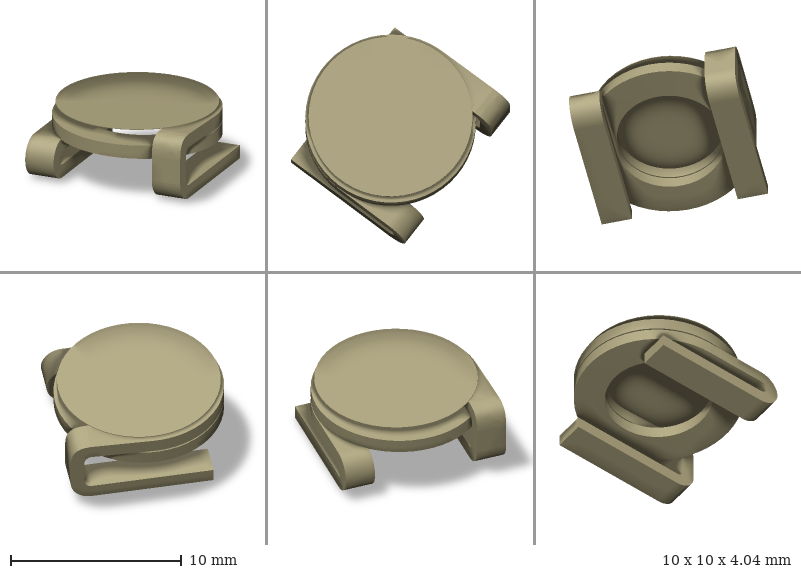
import cadquery as cq
import math

wire_thickness = 0.82
wire_width = 1.82

coil_outer_radius = 5.0
coil_turns = 1.5
coil_pitch = 0.92

slot_height = wire_thickness
bend_inner_radius = slot_height / 2
bend_outer_radius = bend_inner_radius + wire_thickness
foot_back_y = 3.52
low_leg_front_y = -4.9
high_leg_front_y = -4.99
coil_start_z = wire_thickness + slot_height
coil_end_z = coil_start_z + coil_turns * coil_pitch
high_leg_top_z = 4.0
upper_bend_fullness = 0.72

disc_diameter = 9.6
disc_thickness = 0.04

coil_inner_radius = coil_outer_radius - wire_width
coil_mean_radius = coil_outer_radius - wire_width / 2


def make_coil():
    """Rectangular wire swept along a helix that starts at -X and passes through +Y."""
    height = coil_turns * coil_pitch
    path = cq.Wire.makeHelix(coil_pitch, height, coil_mean_radius, lefthand=True)
    section = (
        cq.Workplane("XZ")
        .center(coil_mean_radius, wire_thickness / 2)
        .rect(wire_width, wire_thickness)
    )
    coil = section.sweep(cq.Workplane(obj=path), isFrenet=True)
    return coil.rotate((0, 0, 0), (0, 0, 1), 180).translate((0, 0, coil_start_z))


def diagonal_point(center_y, center_z, radius, vertical_sign):
    """Middle of a quarter bend that faces -Y and either +Z or -Z."""
    offset = radius * math.sqrt(0.5)
    return center_y - offset, center_z + vertical_sign * offset


def make_low_leg():
    """Hairpin with a level top and one half-round bend."""
    bend_y = low_leg_front_y + bend_outer_radius
    bend_z = bend_outer_radius
    return (
        cq.Workplane("YZ", origin=(-coil_outer_radius, 0, 0))
        .moveTo(foot_back_y, 0)
        .lineTo(bend_y, 0)
        .threePointArc((low_leg_front_y, bend_z), (bend_y, coil_start_z + wire_thickness))
        .lineTo(0, coil_start_z + wire_thickness)
        .lineTo(0, coil_start_z)
        .lineTo(bend_y, coil_start_z)
        .threePointArc((bend_y - bend_inner_radius, bend_z), (bend_y, wire_thickness))
        .lineTo(foot_back_y, wire_thickness)
        .close()
        .extrude(wire_width)
    )


def make_high_leg():
    """Leg with a top rising from the coil end, a full upper bend, an upright and a round lower bend."""
    front_y = high_leg_front_y
    upright_back_y = front_y + wire_thickness
    bend_y = front_y + bend_outer_radius
    low_bend_z = bend_outer_radius
    high_bend_z = high_leg_top_z - bend_outer_radius
    handle = upper_bend_fullness * bend_outer_radius
    return (
        cq.Workplane("YZ", origin=(coil_inner_radius, 0, 0))
        .moveTo(foot_back_y, 0)
        .lineTo(bend_y, 0)
        .threePointArc(
            diagonal_point(bend_y, low_bend_z, bend_outer_radius, -1), (front_y, low_bend_z)
        )
        .lineTo(front_y, high_bend_z)
        .bezier(
            [
                (front_y, high_bend_z),
                (front_y, high_bend_z + handle),
                (bend_y - handle, high_leg_top_z),
                (bend_y, high_leg_top_z),
            ]
        )
        .lineTo(0, coil_end_z + wire_thickness)
        .lineTo(0, coil_end_z)
        .lineTo(bend_y, high_leg_top_z - wire_thickness)
        .threePointArc(
            diagonal_point(bend_y, high_bend_z, bend_inner_radius, 1), (upright_back_y, high_bend_z)
        )
        .lineTo(upright_back_y, low_bend_z)
        .threePointArc(
            diagonal_point(bend_y, low_bend_z, bend_inner_radius, -1), (bend_y, wire_thickness)
        )
        .lineTo(foot_back_y, wire_thickness)
        .close()
        .extrude(wire_width)
    )


def make_winding():
    """Coil joined to its low leg at -X and its high leg at +X."""
    return make_coil().union(make_low_leg()).union(make_high_leg())


def make_label_disc():
    return (
        cq.Workplane("XY", origin=(0, 0, high_leg_top_z))
        .circle(disc_diameter / 2)
        .extrude(disc_thickness)
    )


winding = make_winding()
label_disc = make_label_disc()
result = cq.Compound.makeCompound([winding.solids().val(), label_disc.val()])